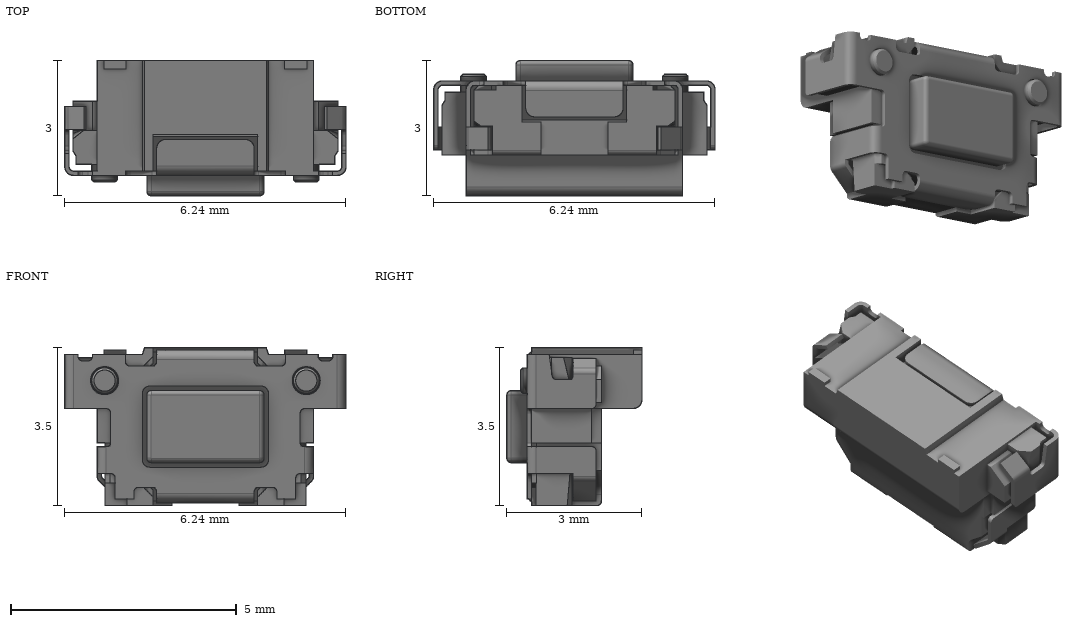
import cadquery as cq
import math


sheet = 0.1
bend_radius = 0.2
tab_bend_radius = 0.15
corner_radius = 0.1
arm_corner_radius = 0.08
cover_top = 1.6
wall_back = 1.53

wing_half = 3.12
wing_bottom = 0.4
waist_half = 2.1
arm_half = 2.4
arm_top = -0.44
arm_bottom = -1.04
skirt_half = 2.0
skirt_bottom = -1.6

tab_front = 1.02
upper_tab_start = 1.17
upper_tab_turn = 59
upper_tab_length = 0.41
lower_tab_start = -1.1
lower_tab_turn = 45
lower_tab_length = 0.62

slot_front = 0.49
slot_floor_front = 0.57
slot_floor = 1.04

edge_notch_x = (-2.82, -2.505)
edge_notch_floor = 1.455

flap_half = 1.08
flap_z = 1.695
flap_bend_radius = 0.21
flap_back = 0.8
flap_corner = 0.2
flap_notch_z = 1.345
top_notch_half = 1.775
bottom_notch_half = 1.585

body_front = sheet
body_half = 2.4
head_back = 2.55
head_bottom = 0.4
head_corner_radius = 0.2
body_back = 1.65
waist_bottom = -0.36
waist_step_y = 1.43
waist_rear_half = 2.3
foot_half = 2.23
foot_bottom = -1.75
foot_corner_radius = 0.1
foot_gap_half = 0.74
foot_gap_depth = 0.1
foot_bevel = 0.11
foot_step_half = 1.74
foot_step_depth = 0.1
foot_step_z = -1.25
foot_step_chamfer = 0.095

ridge_top = 1.75
ridge_half = 1.35
ridge_base_half = 1.4
pad_x = (-2.25, -1.755)
pad_depth = 0.19
pad_top = 1.7

pocket_half = 1.157
pocket_back = 0.91
pocket_step = 0.04
pocket_ledge_z = 1.65
pocket_relief_depth = 0.1
relief_flare_z = 1.56
pocket_flare_z = 1.41

lug_x = -2.94
lug_front = 0.25
lug_bottom = 0.535
lug_top = 1.53
lug_split = 1.0
lug_nose = (0.07, 0.11)
lug_nose_y = 0.435
lug_shelf_x = -2.506
lug_shelf_z = 1.344
lug_slope_end_z = 1.04
lug_chamfers = ((0.165, 0.07), (0.24, 0.19))

recess_x = -1.82
recess_slope_top = -0.97
recess_fillet = 0.31
recess_chamfers = ((0.15, 0.11), (0.06, 0.05))

peg_x = 2.235
peg_z = 1.02
peg_radius = 0.285
peg_tip = -0.145
peg_chamfer = 0.05
peg_clearance = 0.025

button_width = 2.6
button_height = 1.6
button_tip = -0.45
button_edge = 0.1
button_front_edge = 0.099
window_width = 2.8
window_height = 1.8
window_radius = 0.17


def box(x_range, y_range, z_range):
    size = [high - low for low, high in (x_range, y_range, z_range)]
    return cq.Workplane("XY").box(*size, centered=False).translate((x_range[0], y_range[0], z_range[0]))


def front_plane(y):
    """XZ sketch plane at depth y; a negative extrusion runs toward +Y."""
    return cq.Workplane("XZ", origin=(0, y, 0))


def prism_along_y(points, y_range):
    return front_plane(y_range[0]).polyline(points).close().extrude(y_range[0] - y_range[1])


def mirrored(shape):
    """The shape together with its image on the other side of the YZ plane."""
    return shape.union(shape.mirror("YZ"))


def skewed_corner(x, y, z_range, chamfers):
    """Wedge cutting the vertical edge at (x, y); each end has its own (x leg, y leg)."""
    def triangle(plane, legs):
        return plane.polyline([(x, y - legs[1]), (x, y), (x + legs[0], y)]).close()

    lower = triangle(cq.Workplane("XY", origin=(0, 0, z_range[0])), chamfers[0])
    upper = triangle(lower.workplane(offset=z_range[1] - z_range[0]), chamfers[1])
    return upper.loft(ruled=True, combine=True)


def make_flared_slot(side, flare_z, y_range):
    """Slot widening at 45 degrees from flare_z to its floor; side is +1 for up, -1 for down."""
    floor_half = pocket_half + flare_z - flap_notch_z
    points = [
        (-floor_half, side * flap_notch_z),
        (-pocket_half, side * flare_z),
        (-pocket_half, side * ridge_top),
        (pocket_half, side * ridge_top),
        (pocket_half, side * flare_z),
        (floor_half, side * flap_notch_z),
    ]
    return prism_along_y(points, y_range)


def make_flap_pocket(side):
    """Clearance for a cover flap: wide relief at the bend, then a pocket with a stepped back wall."""
    relief_back = body_front + pocket_relief_depth
    relief = make_flared_slot(side, relief_flare_z, (body_front, relief_back))
    pocket = make_flared_slot(side, pocket_flare_z, (relief_back, pocket_back - pocket_step))
    low, high = sorted((side * pocket_ledge_z, side * ridge_top))
    rear_step = box((-pocket_half, pocket_half), (pocket_back - pocket_step, pocket_back), (low, high))
    return relief.union(pocket).union(rear_step)


def make_lug():
    """Side lug: a tall front part and a rear part sloped to clear the cover tab."""
    nose_x, nose_y = lug_nose
    front = (
        cq.Workplane("XY", origin=(0, 0, lug_bottom))
        .moveTo(-body_half, lug_front)
        .lineTo(lug_x + nose_x, lug_front)
        .lineTo(lug_x + nose_x, lug_nose_y)
        .lineTo(lug_x, lug_nose_y + nose_y)
        .lineTo(lug_x, lug_split)
        .lineTo(-body_half, lug_split)
        .close()
        .extrude(lug_top - lug_bottom)
    )
    front = front.cut(skewed_corner(lug_x, lug_split, (slot_floor, lug_top), lug_chamfers))
    rear_outline = [
        (-body_half, lug_bottom),
        (lug_x, lug_bottom),
        (lug_x, lug_slope_end_z),
        (lug_shelf_x, lug_shelf_z),
        (-body_half, lug_shelf_z),
    ]
    return front.union(prism_along_y(rear_outline, (lug_split, body_back)))


def make_tab_recess():
    """Rear side recess that the lower cover tab folds into."""
    half_turn = math.radians(lower_tab_turn / 2)
    turn = 2 * half_turn
    corner_z = recess_slope_top - (recess_x + foot_half) / math.tan(turn)
    tangent = recess_fillet * math.tan(half_turn)
    slope_end = (recess_x - tangent * math.sin(turn), corner_z + tangent * math.cos(turn))
    arc_centre = (recess_x - recess_fillet, corner_z - tangent)
    arc_middle = (
        arc_centre[0] + recess_fillet * math.cos(half_turn),
        arc_centre[1] + recess_fillet * math.sin(half_turn),
    )
    recess = (
        front_plane(lug_split)
        .moveTo(-foot_half, recess_slope_top)
        .lineTo(*slope_end)
        .threePointArc(arc_middle, (recess_x, corner_z - tangent))
        .lineTo(recess_x, foot_bottom)
        .lineTo(-foot_half, foot_bottom)
        .close()
        .extrude(lug_split - body_back)
    )
    corner = skewed_corner(-foot_half, lug_split, (foot_bottom, arm_bottom), recess_chamfers)
    return recess.union(corner)


def make_foot_front_cut():
    """Bevel on the upper front corner of the foot and the shallow step in the face below it."""
    bevel = (
        cq.Workplane("XY", origin=(0, 0, foot_step_z))
        .polyline([
            (-foot_half, body_front),
            (-foot_half + foot_bevel, body_front),
            (-foot_half, body_front + foot_bevel),
        ])
        .close()
        .extrude(waist_bottom - foot_step_z)
    )
    step_outline = [
        (-foot_half, foot_step_z),
        (-foot_step_half - foot_step_chamfer, foot_step_z),
        (-foot_step_half, foot_step_z - foot_step_chamfer),
        (-foot_step_half, foot_bottom),
        (-foot_half, foot_bottom),
    ]
    step = prism_along_y(step_outline, (body_front, body_front + foot_step_depth))
    return bevel.union(step)


def make_housing():
    head = box((-body_half, body_half), (body_front, head_back), (head_bottom, cover_top))
    head = head.edges("|X and >Y and <Z").fillet(head_corner_radius)
    waist_z = (waist_bottom, head_bottom)
    waist = box((-body_half, body_half), (body_front, waist_step_y), waist_z)
    waist = waist.union(box((-waist_rear_half, waist_rear_half), (waist_step_y, body_back), waist_z))
    foot = box((-foot_half, foot_half), (body_front, body_back), (foot_bottom, head_bottom))
    foot = foot.edges("|X and >Y and <Z").fillet(foot_corner_radius)
    foot_gap = box(
        (-foot_gap_half, foot_gap_half),
        (body_front, body_back),
        (foot_bottom, foot_bottom + foot_gap_depth),
    )
    foot = foot.cut(foot_gap)

    foot = foot.cut(mirrored(make_foot_front_cut().union(make_tab_recess())))

    ridge_outline = [
        (-ridge_base_half, cover_top),
        (-ridge_half, ridge_top),
        (ridge_half, ridge_top),
        (ridge_base_half, cover_top),
    ]
    ridge = prism_along_y(ridge_outline, (body_front, head_back))
    pad = box(pad_x, (head_back - pad_depth, head_back), (cover_top, pad_top))

    housing = head.union(waist).union(foot).union(ridge)
    housing = housing.cut(make_flap_pocket(1)).cut(make_flap_pocket(-1))
    return housing.union(mirrored(pad.union(make_lug())))


def make_pegs():
    pegs = (
        front_plane(lug_front)
        .pushPoints([(-peg_x, peg_z), (peg_x, peg_z)])
        .circle(peg_radius)
        .extrude(lug_front - peg_tip)
    )
    return pegs.faces("<Y").chamfer(peg_chamfer)


def make_side_wall(half_width, z_range):
    """Wall folded back from the cover at -half_width, with the bend joining it to the face."""
    outer = -half_width
    inner_radius = bend_radius - sheet
    diagonal = math.sqrt(0.5)
    centre = (outer + bend_radius, bend_radius)
    return (
        cq.Workplane("XY", origin=(0, 0, z_range[0]))
        .moveTo(centre[0], 0)
        .threePointArc(
            (centre[0] - bend_radius * diagonal, centre[1] - bend_radius * diagonal),
            (outer, bend_radius),
        )
        .lineTo(outer, wall_back)
        .lineTo(outer + sheet, wall_back)
        .lineTo(outer + sheet, bend_radius)
        .threePointArc(
            (centre[0] - inner_radius * diagonal, centre[1] - inner_radius * diagonal),
            (centre[0], sheet),
        )
        .close()
        .extrude(z_range[1] - z_range[0])
    )


def make_tab(half_width, start_z, direction, turn_degrees, length):
    """Tab bent inward from the end of a side wall; direction is +1 for up, -1 for down."""
    turn = math.radians(turn_degrees)

    def place(inward, rise):
        return (-half_width + inward, start_z + direction * rise)

    def on_bend(radius, angle):
        return place(tab_bend_radius - radius * math.cos(angle), radius * math.sin(angle))

    def at_tip(radius):
        bend_end = on_bend(radius, turn)
        return (bend_end[0] + length * math.sin(turn), bend_end[1] + direction * length * math.cos(turn))

    inner_radius = tab_bend_radius - sheet
    return (
        front_plane(tab_front)
        .moveTo(*on_bend(tab_bend_radius, 0))
        .threePointArc(on_bend(tab_bend_radius, turn / 2), on_bend(tab_bend_radius, turn))
        .lineTo(*at_tip(tab_bend_radius))
        .lineTo(*at_tip(inner_radius))
        .lineTo(*on_bend(inner_radius, turn))
        .threePointArc(on_bend(inner_radius, turn / 2), on_bend(inner_radius, 0))
        .close()
        .extrude(tab_front - wall_back)
    )


def make_upper_wing():
    wall = make_side_wall(wing_half, (wing_bottom, cover_top))
    wall = wall.edges("|X and >Y and <Z").fillet(corner_radius)
    slot_x = -wing_half
    slot = (
        cq.Workplane("YZ", origin=(slot_x, 0, 0))
        .polyline([
            (slot_front, cover_top),
            (slot_floor_front, slot_floor),
            (tab_front, slot_floor),
            (tab_front, cover_top),
        ])
        .close()
        .extrude(sheet)
        .edges("|X and <Z")
        .fillet(corner_radius)
    )
    above_tab = box((slot_x, slot_x + sheet), (tab_front, wall_back), (upper_tab_start, cover_top))
    tab = make_tab(wing_half, upper_tab_start, 1, upper_tab_turn, upper_tab_length)
    return wall.cut(slot).cut(above_tab).union(tab)


def make_lower_arm():
    wall = make_side_wall(arm_half, (arm_bottom, arm_top))
    wall = wall.edges("|X and >Y and >Z").fillet(corner_radius)
    tab_root = box(
        (-arm_half, -arm_half + sheet), (tab_front, wall_back), (lower_tab_start, arm_bottom)
    )
    tab = make_tab(arm_half, lower_tab_start, -1, lower_tab_turn, lower_tab_length)
    return wall.union(tab_root).union(tab)


def make_flap_notch(outer_half, edge_z, side):
    """Relief in the face at -X beside a flap, open at the face edge."""
    low, high = sorted((side * flap_notch_z, edge_z))
    notch = box((-outer_half, -flap_half), (0, sheet), (low, high))
    inner_edges = "|Y and <Z" if side > 0 else "|Y and >Z"
    return notch.edges(inner_edges).fillet(corner_radius)


def make_flap(side):
    """Flap folded back from the face over the top (+1) or under the bottom (-1)."""
    outer = side * flap_z
    inner = side * (flap_z - sheet)
    bend_z = side * (flap_z - flap_bend_radius)
    diagonal = math.sqrt(0.5)
    inner_radius = flap_bend_radius - sheet

    def bend_middle(radius):
        return (flap_bend_radius - radius * diagonal, bend_z + side * radius * diagonal)

    flap = (
        cq.Workplane("YZ", origin=(-flap_half, 0, 0))
        .moveTo(0, bend_z)
        .threePointArc(bend_middle(flap_bend_radius), (flap_bend_radius, outer))
        .lineTo(flap_back, outer)
        .lineTo(flap_back, inner)
        .lineTo(flap_bend_radius, inner)
        .threePointArc(bend_middle(inner_radius), (sheet, bend_z))
        .close()
        .extrude(2 * flap_half)
    )
    return flap.edges("|Z and >Y").fillet(flap_corner)


def make_cover_face():
    """Flat front sheet with its side, top and bottom cut-outs, window and peg holes."""
    wing_end = wing_half - bend_radius
    arm_end = arm_half - bend_radius
    flap_edge = flap_z - flap_bend_radius
    wing = box((-wing_end, wing_end), (0, sheet), (wing_bottom, cover_top))
    waist = box((-waist_half, waist_half), (0, sheet), (arm_top, wing_bottom))
    arm = box((-arm_end, arm_end), (0, sheet), (arm_bottom, arm_top))
    skirt = box((-skirt_half, skirt_half), (0, sheet), (skirt_bottom, arm_bottom))
    face = wing.union(waist).union(arm).union(skirt)

    inner_corners = [
        (waist_half, wing_bottom, corner_radius),
        (waist_half, arm_top, arm_corner_radius),
        (skirt_half, arm_bottom, corner_radius),
    ]
    for corner_x, corner_z, radius in inner_corners:
        for x in (-corner_x, corner_x):
            corner_edge = cq.selectors.NearestToPointSelector((x, sheet / 2, corner_z))
            face = face.edges("|Y").edges(corner_edge).fillet(radius)

    edge_notch = box(edge_notch_x, (0, sheet), (edge_notch_floor, cover_top))
    edge_notch = edge_notch.edges("|Y and <Z").fillet(corner_radius)
    notches = edge_notch.union(make_flap_notch(top_notch_half, cover_top, 1))
    notches = notches.union(make_flap_notch(bottom_notch_half, skirt_bottom, -1))
    face = face.cut(mirrored(notches))
    face = face.cut(box((-flap_half, flap_half), (0, sheet), (flap_edge, cover_top)))
    face = face.cut(box((-flap_half, flap_half), (0, sheet), (skirt_bottom, -flap_edge)))

    window = (
        front_plane(0)
        .rect(window_width, window_height)
        .extrude(-sheet)
        .edges("|Y")
        .fillet(window_radius)
    )
    peg_holes = (
        front_plane(0)
        .pushPoints([(-peg_x, peg_z), (peg_x, peg_z)])
        .circle(peg_radius + peg_clearance)
        .extrude(-sheet)
    )
    return face.cut(window).cut(peg_holes)


def make_cover():
    sides = mirrored(make_upper_wing().union(make_lower_arm()))
    return make_cover_face().union(sides).union(make_flap(1)).union(make_flap(-1))


def make_button():
    block = front_plane(body_front).rect(button_width, button_height).extrude(body_front - button_tip)
    return block.edges("|Y").fillet(button_edge).faces("<Y").edges().fillet(button_front_edge)


result = make_housing().union(make_pegs()).union(make_cover()).union(make_button())